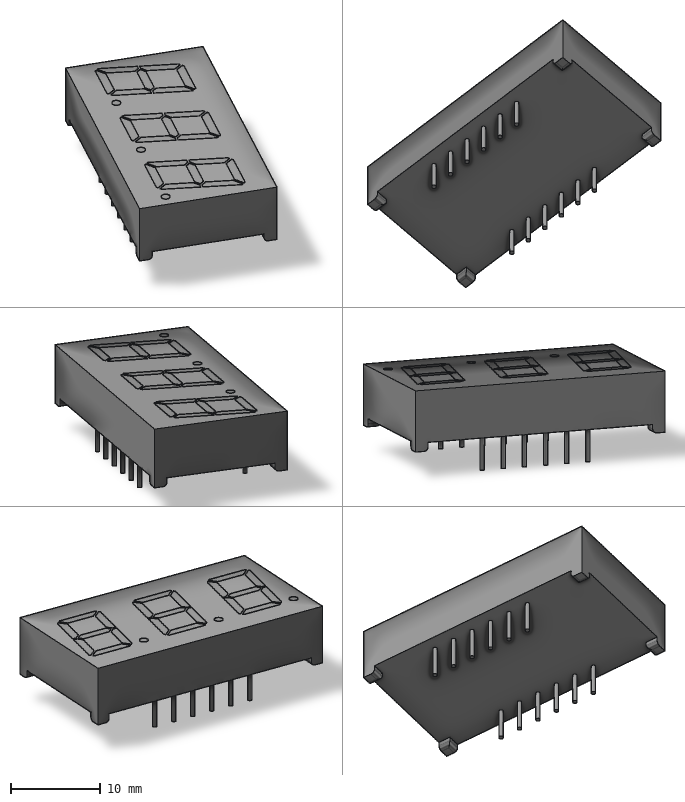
import cadquery as cq
import math

LENGTH = 30.0
WIDTH = 16.0
HOUSING_HEIGHT = 7.0
FOOT_SIZE = 1.5
FOOT_HEIGHT = 1.0
FOOT_ROUNDING = 0.5

PIN_DIAMETER = 0.5
PIN_PITCH = 2.54
PINS_PER_ROW = 6
ROW_SPACING = 12.7
OVERALL_HEIGHT = 10.0
PIN_LENGTH = OVERALL_HEIGHT - HOUSING_HEIGHT + FOOT_HEIGHT

DIGIT_COUNT = 3
DIGIT_PITCH = 10.0
DIGIT_ROW_OFFSET_X = -0.25
DIGIT_ROW_OFFSET_Y = -0.05
DIGIT_WIDTH = 5.73
DIGIT_HEIGHT = 9.85
DIGIT_SLANT = math.tan(math.radians(10))
STROKE = 1.0
SEGMENT_GAP = 0.25
CORNER_CUT = 0.5
POINT_DIAMETER = 1.0
POINT_OFFSET = (3.65, -4.45)
MARKING_DEPTH = 0.05


def underside_channel(span, along_x):
    """Channel through the underside between the feet, its lower edges rounding the feet."""
    half = span / 2
    rounding = FOOT_ROUNDING
    plane = "YZ" if along_x else "XZ"
    run = LENGTH if along_x else WIDTH
    return (
        cq.Workplane(plane)
        .moveTo(-half - rounding, 0)
        .radiusArc((-half, rounding), -rounding)
        .lineTo(-half, FOOT_HEIGHT)
        .lineTo(half, FOOT_HEIGHT)
        .lineTo(half, rounding)
        .radiusArc((half + rounding, 0), -rounding)
        .close()
        .extrude(run / 2, both=True)
    )


def housing():
    """Block with two crossing channels that leave a foot at each corner."""
    block = cq.Workplane("XY").box(LENGTH, WIDTH, HOUSING_HEIGHT, centered=(True, True, False))
    block = block.cut(underside_channel(WIDTH - 2 * FOOT_SIZE, along_x=True))
    return block.cut(underside_channel(LENGTH - 2 * FOOT_SIZE, along_x=False))


def pins():
    """Both rows of pins."""
    return (
        cq.Workplane("XY", origin=(0, 0, FOOT_HEIGHT))
        .rarray(PIN_PITCH, ROW_SPACING, PINS_PER_ROW, 2)
        .circle(PIN_DIAMETER / 2)
        .extrude(-PIN_LENGTH)
    )


def segment_outlines():
    """Outlines of the seven segments of an upright digit centred on the origin."""
    outer_x = DIGIT_WIDTH / 2
    outer_y = DIGIT_HEIGHT / 2
    inner_x = outer_x - STROKE
    inner_y = outer_y - STROKE
    half_stroke = STROKE / 2
    half_gap = SEGMENT_GAP / 2
    miter = half_gap * math.sqrt(2)
    cut_near = (CORNER_CUT + miter) / 2
    cut_far = (CORNER_CUT - miter) / 2

    top = [
        (-outer_x + CORNER_CUT, outer_y),
        (outer_x - CORNER_CUT, outer_y),
        (outer_x - cut_near, outer_y - cut_far),
        (inner_x - miter, inner_y),
        (-inner_x + miter, inner_y),
        (-outer_x + cut_near, outer_y - cut_far),
    ]
    upper_right = [
        (outer_x, outer_y - CORNER_CUT),
        (outer_x, half_gap),
        (inner_x + half_stroke + miter - half_gap, half_gap),
        (inner_x, half_stroke + miter),
        (inner_x, inner_y - miter),
        (outer_x - cut_far, outer_y - cut_near),
    ]
    middle_tip = inner_x + half_stroke - miter
    middle = [
        (-middle_tip, 0),
        (-inner_x + miter, half_stroke),
        (inner_x - miter, half_stroke),
        (middle_tip, 0),
        (inner_x - miter, -half_stroke),
        (-inner_x + miter, -half_stroke),
    ]
    bottom = [(x, -y) for x, y in top]
    uprights = [[(sx * x, sy * y) for x, y in upper_right] for sx in (-1, 1) for sy in (-1, 1)]
    return [top, middle, bottom] + uprights


def digit_markings(center_x):
    """Cutters for one slanted digit and its decimal point."""
    top_face = cq.Workplane("XY", origin=(center_x, DIGIT_ROW_OFFSET_Y, HOUSING_HEIGHT))
    cutters = top_face.center(*POINT_OFFSET).circle(POINT_DIAMETER / 2).extrude(-MARKING_DEPTH)
    for outline in segment_outlines():
        slanted = [(x + y * DIGIT_SLANT, y) for x, y in outline]
        cutters = cutters.add(top_face.polyline(slanted).close().extrude(-MARKING_DEPTH))
    return cutters.combine()


result = housing().union(pins())
for index in range(DIGIT_COUNT):
    digit_x = DIGIT_ROW_OFFSET_X + (index - (DIGIT_COUNT - 1) / 2) * DIGIT_PITCH
    result = result.cut(digit_markings(digit_x))